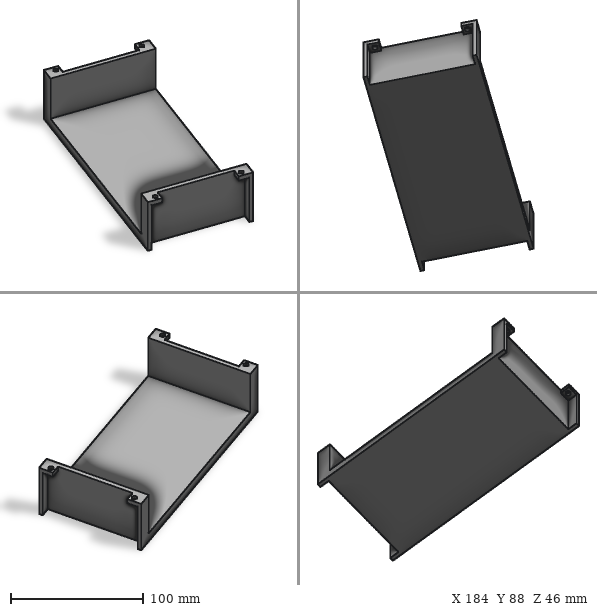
import cadquery as cq

length = 184.0
width = 88.0
height = 46.0
floor_thickness = 8.1
end_thickness = 12.0

recess_depth = 8.1
rim_thickness = 3.1

tab_length = 12.0
tab_thickness = 4.0
hole_diameter = 4.0
hole_end_inset = 4.0
hole_side_inset = 8.1


def make_tray():
    """U-shaped channel: a floor with a wall standing at each X end."""
    block = cq.Workplane("XY").box(length, width, height, centered=(True, True, False))
    channel = (
        cq.Workplane("XY")
        .workplane(offset=floor_thickness)
        .rect(length - 2 * end_thickness, width)
        .extrude(height - floor_thickness)
    )
    return block.cut(channel)


def make_end_recess(side):
    """Cutter open to the bottom, narrowed between the tabs near the top."""
    center_x = side * (length - recess_depth) / 2
    lower = (
        cq.Workplane("XY")
        .center(center_x, 0)
        .rect(recess_depth, width - 2 * rim_thickness)
        .extrude(height - tab_thickness)
    )
    upper = (
        cq.Workplane("XY")
        .center(center_x, 0)
        .rect(recess_depth, width - 2 * tab_length)
        .extrude(height)
    )
    return lower.union(upper)


result = make_tray()
for side in (-1, 1):
    result = result.cut(make_end_recess(side))

screw_holes = (
    cq.Workplane("XY")
    .rect(length - 2 * hole_end_inset, width - 2 * hole_side_inset, forConstruction=True)
    .vertices()
    .circle(hole_diameter / 2)
    .extrude(height)
)
result = result.cut(screw_holes)